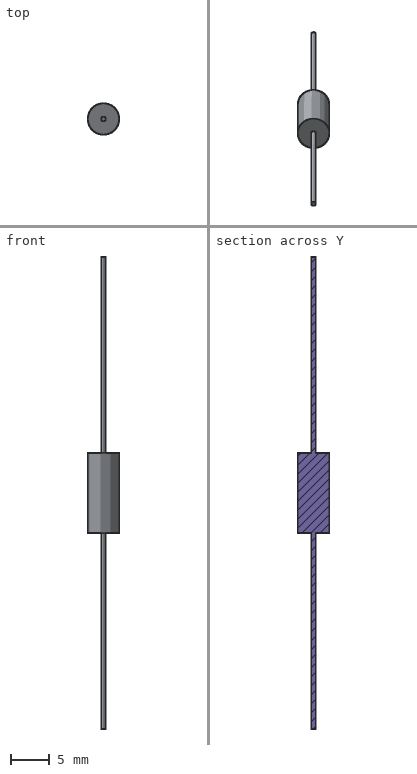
import cadquery as cq

overall_length = 61.2
body_diameter = 4.1
body_length = 10.4
lead_diameter = 0.6


def centred_cylinder(diameter, length):
    """Cylinder along Z, centred on the origin."""
    return cq.Workplane("XY").cylinder(length, diameter / 2)


body = centred_cylinder(body_diameter, body_length)
leads = centred_cylinder(lead_diameter, overall_length)

result = body.union(leads)